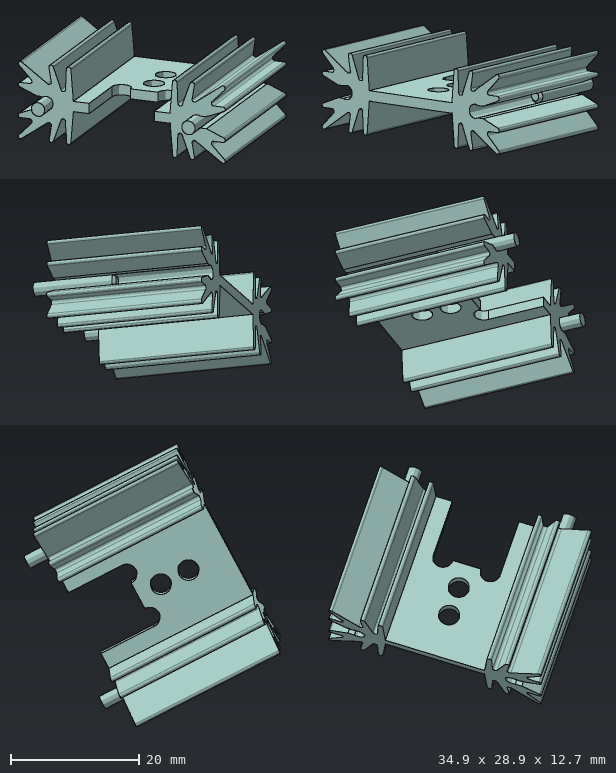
import cadquery as cq
import math

width = 34.9
height = 12.7
sink_length = 25.4

round_radius = 0.4
tip_z = height / 2 - round_radius
tip_x = width / 2 - round_radius
inner_fin_root_x = 8.13
inner_fin_x = 8.95
inner_valley_x, inner_valley_z = 9.85, 2.62
second_fin_x = 11.85
second_valley_x, second_valley_z = 12.25, 3.52
side_valley_x, side_valley_z = 15.5, 3.28
side_fin_z = side_valley_z - 2 * round_radius

plate_thickness = 1.68
hole_diameter = 3.25
hole_spacing = 4.85
rear_hole_y = sink_length - 7.12
slot_width = 10.92
slot_depth = 9.4
lobe_radius = 1.57
lobe_y = 9.45

pin_radius = 1.1
pin_x = 12.67
pin_protrusion = 3.5
pin_depth = 10.0
pin_chamfer_length = 0.52
pin_chamfer_width = 0.42
groove_mouth_x = 14.27
groove_mouth_z = 0.98


def cross_tangent(first, second, side):
    """Ends of the line that touches two rounds (x, z, radius) on opposite sides; radius 0 is a point."""
    x1, z1, r1 = first
    x2, z2, r2 = second
    distance = math.hypot(x2 - x1, z2 - z1)
    angle = math.atan2(z2 - z1, x2 - x1) + side * math.acos((r1 + r2) / distance)
    start = (x1 + r1 * math.cos(angle), z1 + r1 * math.sin(angle))
    end = (x2 - r2 * math.cos(angle), z2 - r2 * math.sin(angle))
    return start, end


def arc_middle(center, start, end):
    """Middle of the minor arc from start to end on a round (x, z, radius)."""
    x, z, radius = center
    dx = start[0] + end[0] - 2 * x
    dz = start[1] + end[1] - 2 * z
    scale = radius / math.hypot(dx, dz)
    return x + dx * scale, z + dz * scale


def make_profile_quarter():
    """Upper +X quarter of the extrusion: half of the plate and the four fins of one side."""
    rounds = [
        (inner_fin_root_x, plate_thickness / 2, 0),
        (inner_fin_x, tip_z, round_radius),
        (inner_valley_x, inner_valley_z, round_radius),
        (second_fin_x, tip_z, round_radius),
        (second_valley_x, second_valley_z, round_radius),
        (tip_x, tip_z, round_radius),
        (side_valley_x, side_valley_z, round_radius),
        (tip_x, side_fin_z, round_radius),
        (groove_mouth_x, groove_mouth_z, 0),
    ]
    flanks = [
        cross_tangent(first, second, 1 if index % 2 else -1)
        for index, (first, second) in enumerate(zip(rounds, rounds[1:]))
    ]
    outline = cq.Workplane("XZ").moveTo(0, 0).lineTo(0, plate_thickness / 2)
    outline = outline.lineTo(*flanks[0][0]).lineTo(*flanks[0][1])
    for center, before, after in zip(rounds[1:], flanks, flanks[1:]):
        outline = outline.threePointArc(arc_middle(center, before[1], after[0]), after[0])
        outline = outline.lineTo(*after[1])
    outline = outline.lineTo(pin_x, groove_mouth_z).lineTo(pin_x, 0).close()
    return outline.extrude(-sink_length)


def make_plate_cutout():
    """Two screw holes and the front slot with a round lobe at each inner corner."""
    plate_bottom = cq.Workplane("XY", origin=(0, 0, -plate_thickness / 2))
    holes = (
        plate_bottom
        .pushPoints([(0, rear_hole_y), (0, rear_hole_y - hole_spacing)])
        .circle(hole_diameter / 2)
        .extrude(plate_thickness)
    )
    slot = plate_bottom.rect(slot_width, 2 * slot_depth).extrude(plate_thickness)
    lobe_x = slot_width / 2 - lobe_radius
    lobes = (
        plate_bottom
        .pushPoints([(-lobe_x, lobe_y), (lobe_x, lobe_y)])
        .circle(lobe_radius)
        .extrude(plate_thickness)
    )
    return holes.union(slot).union(lobes)


def make_heat_sink():
    """Four mirrored quarters in one body, with the pin grooves and the plate openings cut out."""
    quarter = make_profile_quarter()
    upper_half = quarter.union(quarter.mirror("YZ"))
    sink = upper_half.union(upper_half.mirror("XY")).clean()
    grooves = (
        cq.Workplane("XZ")
        .pushPoints([(-pin_x, 0), (pin_x, 0)])
        .circle(pin_radius)
        .extrude(-sink_length)
    )
    return sink.cut(grooves).cut(make_plate_cutout())


def make_pin(x):
    """Round pin along Y, sticking out of the front end, with its inner end tapered."""
    return (
        cq.Workplane("XZ", origin=(x, -pin_protrusion, 0))
        .circle(pin_radius)
        .extrude(-(pin_protrusion + pin_depth))
        .faces(">Y")
        .chamfer(pin_chamfer_length, pin_chamfer_width)
    )


heat_sink = make_heat_sink()
pins = [make_pin(x) for x in (-pin_x, pin_x)]

result = cq.Compound.makeCompound([heat_sink.val(), *[pin.val() for pin in pins]])